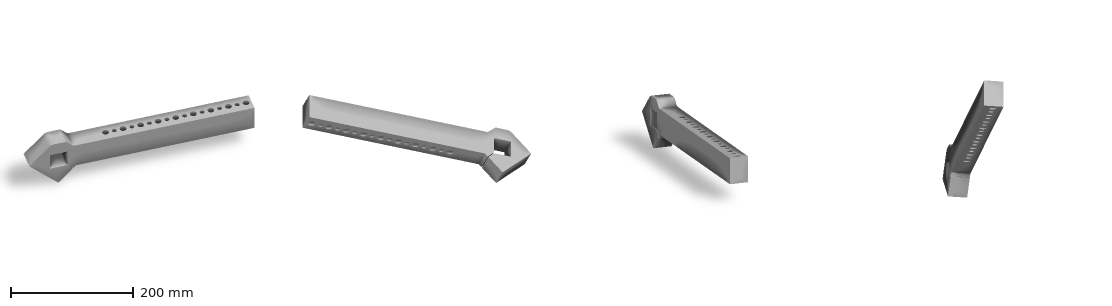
import cadquery as cq

length = 385.2
width = 32.0
height = 87.0

head_radius = 49.5
window_center = 50.0
window_side = 30.0
slit_width = 1.5
top_front_radius = 12.0
top_rear_radius = 8.0

bar_bottom = 30.5
bar_top = 74.7
shoulder_y = 75.0
shoulder_radius = 5.8

large_hole_diameter = 11.0
small_hole_diameter = 8.0
hole_count = 17
hole_pitch = 15.0
hole_end_distance = 9.5


def make_profile():
    """Extrude the side outline of bar and head, then round its upper corners."""
    top_front_y = height - head_radius
    top_rear_y = shoulder_y - (height - bar_top)
    outline = [
        (0, head_radius),
        (head_radius, 0),
        (head_radius + bar_bottom, bar_bottom),
        (length, bar_bottom),
        (length, bar_top),
        (shoulder_y, bar_top),
        (top_rear_y, height),
        (top_front_y, height),
    ]
    body = cq.Workplane("YZ").polyline(outline).close().extrude(width / 2, both=True)
    roundings = [
        (top_front_y, height, top_front_radius),
        (top_rear_y, height, top_rear_radius),
        (shoulder_y, bar_top, shoulder_radius),
    ]
    for y, z, radius in roundings:
        corner = cq.selectors.NearestToPointSelector((0, y, z))
        body = body.edges(corner).fillet(radius)
    return body


def make_window():
    """Square opening through the head."""
    window = cq.Workplane("XY").box(width, window_side, window_side)
    return window.translate((0, window_center, window_center))


def make_slit():
    """Diagonal cut from the lower rear window corner out through the head wall."""
    slit_length = head_radius
    slit = cq.Workplane("XY").box(width, slit_length, slit_width).translate((0, slit_length / 2, 0))
    return slit.rotate((0, 0, 0), (1, 0, 0), -45).translate((0, window_center, window_center))


def make_holes():
    """Vertical through holes, starting with a large one at the free end."""
    holes = cq.Workplane("XY")
    for index in range(hole_count):
        diameter = large_hole_diameter if index % 2 == 0 else small_hole_diameter
        y = length - hole_end_distance - index * hole_pitch
        holes = holes.add(cq.Workplane("XY").center(0, y).circle(diameter / 2).extrude(height))
    return holes.combine()


result = make_profile().cut(make_window()).cut(make_slit()).cut(make_holes())